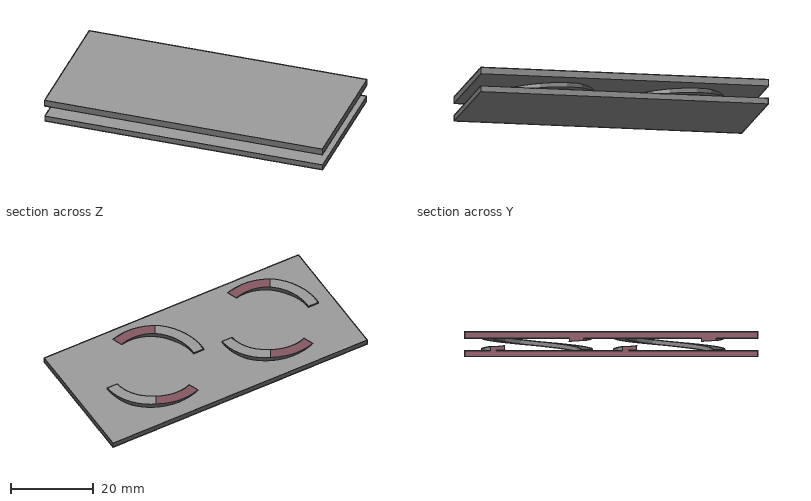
import cadquery as cq

length = 71.0
top_width = 34.0
bottom_width = 33.6
total_height = 6.0
top_thickness = 1.6
bottom_thickness = 1.4
gap = total_height - top_thickness - bottom_thickness

outer_radius = 13.5
inner_radius = 10.65
strand_height = 1.1
strand_rise = 3.8
spring_spacing = 32.0
spring_offset = -2.0
lift = 0.2

strand_mid_z = bottom_thickness + gap / 2 + lift
strand_start_z = strand_mid_z - strand_rise / 2


def plate(width, thickness, bottom_z):
    slab = cq.Workplane("XY").box(length, width, thickness, centered=(True, True, False))
    return slab.translate((0, 0, bottom_z))


def strand():
    """Half turn rising from +X, past +Y, to -X; both ends sink into the plates."""
    mid_radius = (inner_radius + outer_radius) / 2
    path = cq.Wire.makeHelix(2 * strand_rise, strand_rise, mid_radius)
    section = cq.Workplane("XZ").center(mid_radius, 0).rect(outer_radius - inner_radius, strand_height)
    return section.sweep(cq.Workplane(obj=path), isFrenet=True).translate((0, 0, strand_start_z))


def spring(center_x):
    first = strand()
    second = first.rotate((0, 0, 0), (0, 0, 1), 180)
    return [part.translate((center_x, 0, 0)) for part in (first, second)]


result = plate(top_width, top_thickness, total_height - top_thickness)
result = result.union(plate(bottom_width, bottom_thickness, 0))
for side in (-1, 1):
    for spring_strand in spring(spring_offset + side * spring_spacing / 2):
        result = result.union(spring_strand)

result = result.translate((0, 0, -total_height / 2))